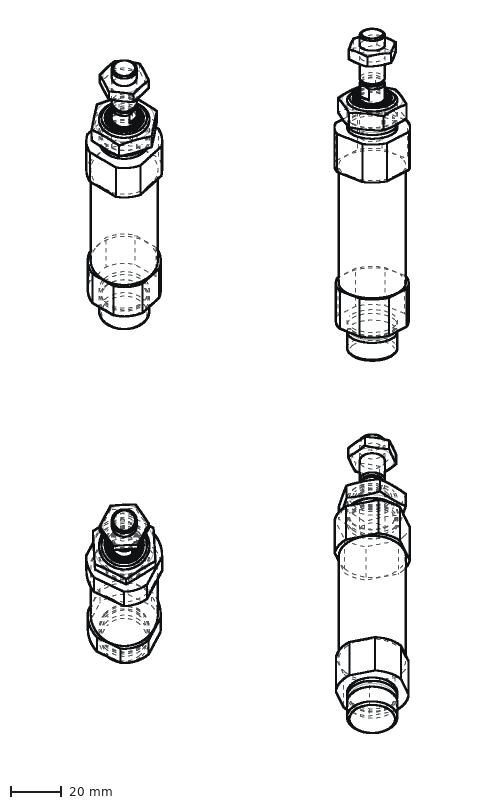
import cadquery as cq
import math

total_length = 140.4
boss_length = 13.0
rod_protrusion = 28.5
housing_length = total_length - rod_protrusion
body_bottom = boss_length
body_top = housing_length - boss_length

block_length = 16.8
block_across_flats = 27.0
front_corner_diameter = 30.0
rear_corner_diameter = 28.9
tube_diameter = 26.5

boss_diameter = 20.0
boss_tip_diameter = 18.0
boss_groove_diameter = 18.0
collar_length = 1.7
groove_length = 3.0
groove_fillet = 0.5

recess_rim_diameter = 15.5
recess_floor_diameter = 14.0
recess_depth = 0.7
lip_base_diameter = 12.4
lip_top_diameter = 11.2
lip_height = 0.5

rod_diameter = 10.0
rod_depth = 16.8
rod_tip_chamfer = 0.7
rod_thread_length = 19.8
rod_groove_diameter = 8.4
rod_groove_length = 2.4
rod_across_flats = 9.0
rod_flats_end = 27.0

rod_nut_across_flats = 17.0
rod_nut_height = 5.0
rod_nut_offset = 5.0

mount_nut_across_flats = 24.0
mount_nut_height = 7.2
mount_nut_offset = 1.0

hex_sides = 6
nut_chamfer_angle = 15.0


def cylinder(diameter, bottom, height):
    """Cylinder on the Z axis."""
    return cq.Workplane("XY").workplane(offset=bottom).circle(diameter / 2).extrude(height)


def revolve_profile(points):
    """Solid of revolution about Z from (radius, z) points."""
    return cq.Workplane("XZ").polyline(points).close().revolve(360, (0, 0, 0), (0, 1, 0))


def end_block(corner_diameter, bottom):
    """Round block with four wrench flats."""
    square = (
        cq.Workplane("XY").workplane(offset=bottom)
        .rect(block_across_flats, block_across_flats).extrude(block_length)
    )
    return cylinder(corner_diameter, bottom, block_length).intersect(square)


def threaded_boss():
    """Boss rising from z = 0: collar, relief groove, thread and chamfered tip."""
    radius = boss_diameter / 2
    groove_radius = boss_groove_diameter / 2
    tip_radius = boss_tip_diameter / 2
    groove_end = collar_length + groove_length
    boss = revolve_profile([
        (0, 0),
        (radius, 0),
        (radius, collar_length),
        (groove_radius, collar_length),
        (groove_radius, groove_end - (radius - groove_radius)),
        (radius, groove_end),
        (radius, boss_length - (radius - tip_radius)),
        (tip_radius, boss_length),
        (0, boss_length),
    ])
    groove_floor = cq.selectors.BoxSelector(
        (-radius, -radius, collar_length - groove_fillet / 2),
        (radius, radius, groove_end - groove_fillet / 2),
    )
    floor_corners = boss.edges("%CIRCLE").edges(groove_floor).edges(cq.selectors.RadiusNthSelector(0))
    return floor_corners.fillet(groove_fillet)


def wiper_recess():
    """Ring-shaped cavity below z = 0 that leaves the wiper lip standing in its middle."""
    lip_top = lip_height - recess_depth
    return revolve_profile([
        (0, 0),
        (recess_rim_diameter / 2, 0),
        (recess_floor_diameter / 2, -recess_depth),
        (lip_base_diameter / 2, -recess_depth),
        (lip_top_diameter / 2, lip_top),
        (0, lip_top),
    ])


def make_housing():
    """Tube with two end blocks, two threaded bosses and the rod bore."""
    housing = cylinder(tube_diameter, body_bottom, body_top - body_bottom)
    housing = housing.union(end_block(rear_corner_diameter, body_bottom))
    housing = housing.union(end_block(front_corner_diameter, body_top - block_length))
    housing = housing.union(threaded_boss().translate((0, 0, body_top)))
    housing = housing.union(threaded_boss().mirror("XY").translate((0, 0, body_bottom)))
    housing = housing.cut(wiper_recess().translate((0, 0, housing_length)))
    return housing.cut(cylinder(rod_diameter, housing_length - rod_depth, rod_depth))


def make_rod():
    """Piston rod with threaded tip, relief groove and two wrench flats."""
    radius = rod_diameter / 2
    groove_radius = rod_groove_diameter / 2
    groove_slope = radius - groove_radius
    groove_top = total_length - rod_thread_length
    groove_bottom = groove_top - rod_groove_length
    rod_bottom = housing_length - rod_depth
    rod = revolve_profile([
        (0, rod_bottom),
        (radius, rod_bottom),
        (radius, groove_bottom),
        (groove_radius, groove_bottom + groove_slope),
        (groove_radius, groove_top - groove_slope),
        (radius, groove_top),
        (radius, total_length - rod_tip_chamfer),
        (radius - rod_tip_chamfer, total_length),
        (0, total_length),
    ])
    flats_bottom = total_length - rod_flats_end
    flats_height = groove_top - rod_groove_length / 2 - flats_bottom
    for side in (-1, 1):
        cutter_x = side * (rod_across_flats + rod_diameter) / 2
        cutter = (
            cq.Workplane("XY").workplane(offset=flats_bottom).center(cutter_x, 0)
            .rect(rod_diameter, rod_diameter).extrude(flats_height)
        )
        rod = rod.cut(cutter)
    return rod


def make_nut(across_flats, height, bore_diameter, bottom):
    """Hex nut with flats facing +Y and -Y, both ends chamfered at the corners."""
    corner_diameter = across_flats / math.cos(math.pi / hex_sides)
    hexagon = cq.Workplane("XY").polygon(hex_sides, corner_diameter).extrude(height)
    drop = (corner_diameter - across_flats) / 2 * math.tan(math.radians(nut_chamfer_angle))
    cone = revolve_profile([
        (0, 0),
        (across_flats / 2, 0),
        (corner_diameter / 2, drop),
        (corner_diameter / 2, height - drop),
        (across_flats / 2, height),
        (0, height),
    ])
    nut = hexagon.intersect(cone).cut(cylinder(bore_diameter, 0, height))
    return nut.translate((0, 0, bottom))


housing = make_housing()
rod = make_rod()
mount_nut = make_nut(
    mount_nut_across_flats, mount_nut_height, boss_diameter,
    housing_length - mount_nut_offset - mount_nut_height,
)
rod_nut = make_nut(
    rod_nut_across_flats, rod_nut_height, rod_diameter,
    total_length - rod_nut_offset - rod_nut_height,
).rotate((0, 0, 0), (0, 0, 1), 90)

result = cq.Compound.makeCompound([housing.val(), rod.val(), mount_nut.val(), rod_nut.val()])